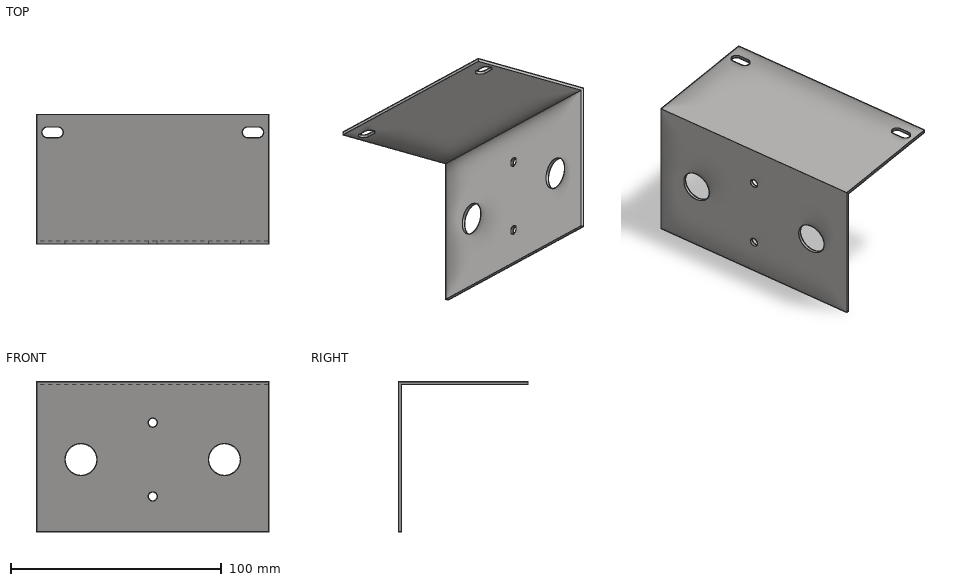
import cadquery as cq

width = 110.0
depth = 61.5
height = 71.3
thickness = 1.5

hole_center_height = 34.35
large_hole_diameter = 15.0
large_hole_spacing = 68.0
small_hole_diameter = 4.2
small_hole_spacing = 35.0

slot_length = 10.0
slot_width = 5.0
slot_side_margin = 7.5
slot_back_margin = 8.5


def bracket_body():
    """L-shaped sheet: an upright front plate and a top plate, centred across X."""
    return (
        cq.Workplane("YZ")
        .moveTo(0, 0)
        .lineTo(0, height)
        .lineTo(depth, height)
        .lineTo(depth, height - thickness)
        .lineTo(thickness, height - thickness)
        .lineTo(thickness, 0)
        .close()
        .extrude(width / 2, both=True)
    )


def front_holes(diameter, centers):
    """Cylinders that pass through the upright plate, at (X, Z) centers."""
    return (
        cq.Workplane("XZ")
        .pushPoints(centers)
        .circle(diameter / 2)
        .extrude(-thickness)
    )


def top_slots():
    """Round-ended slots that pass through the top plate near its back corners."""
    slot_x = width / 2 - slot_side_margin
    slot_y = depth - slot_back_margin
    return (
        cq.Workplane("XY", origin=(0, 0, height - thickness))
        .pushPoints([(-slot_x, slot_y), (slot_x, slot_y)])
        .slot2D(slot_length, slot_width)
        .extrude(thickness)
    )


large_hole_centers = [(side * large_hole_spacing / 2, hole_center_height) for side in (-1, 1)]
small_hole_centers = [(0, hole_center_height + side * small_hole_spacing / 2) for side in (-1, 1)]

result = (
    bracket_body()
    .cut(front_holes(large_hole_diameter, large_hole_centers))
    .cut(front_holes(small_hole_diameter, small_hole_centers))
    .cut(top_slots())
)